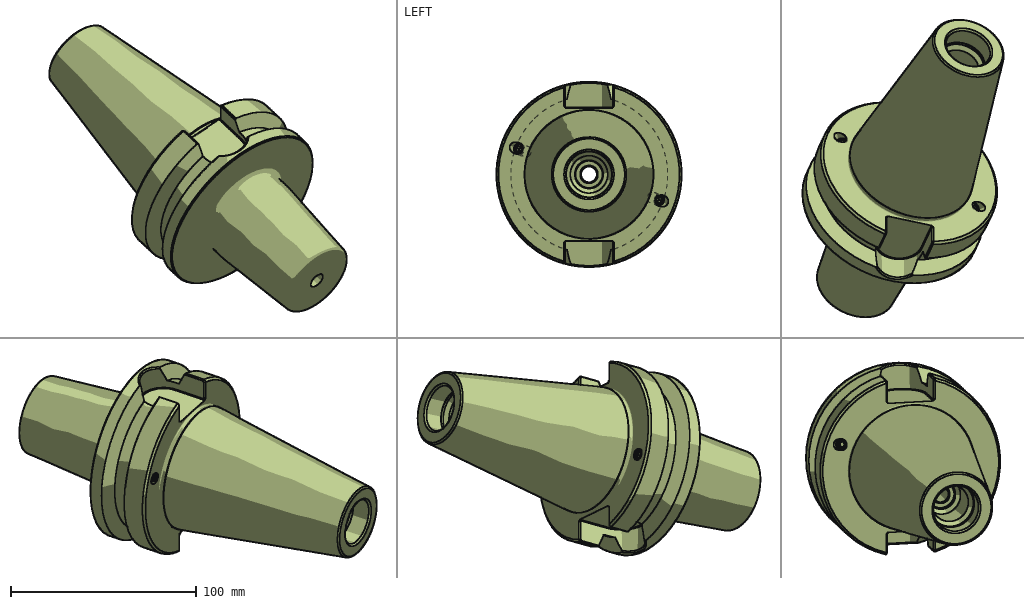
import cadquery as cq
import math

LENGTH = 201.8
TAPER_END = 101.7
FLANGE_FRONT = 104.7
GROOVE_START = 117.5
GROOVE_FLOOR_START = 121.3
GROOVE_FLOOR_END = 128.1
GROOVE_END = 131.8
FLANGE_REAR = 139.2
NECK_END = 150.7

TAPER_RADIUS = 35.0
TAPER_SLOPE = 7 / 48
RELIEF_RADIUS = 69.5 / 2
FLANGE_RADIUS = 100.0 / 2
GROOVE_RADIUS = 42.4
NECK_RADIUS = 52.0 / 2
NOSE_RADIUS = 22.2

SMALL_END_CHAMFER = 0.8
RELIEF_STEP = 0.5
RELIEF_FILLET = 0.6
FLANGE_FRONT_CHAMFER = 1.2
FLANGE_REAR_CHAMFER = 0.6
NECK_FILLET = 3.6
NOSE_FILLET = 2.0

SOCKET_MOUTH_RADIUS = 13.5
SOCKET_RADIUS = 12.5
SOCKET_DEPTH = 10.7
SOCKET_STEP_RADIUS = 12.3
SOCKET_STEP_DEPTH = 12.1
THREAD_RADIUS = 10.0
THREAD_DEPTH = 32.3
DRILL_POINT_ANGLE = math.radians(59)

STOP_SCREW_RADIUS = 7.7
STOP_SCREW_FRONT = 35.3
STOP_SCREW_LENGTH = 16.1
STOP_SCREW_CHAMFER = 0.5
COOLANT_RADIUS = 4.2
COOLANT_CHAMFER = 0.6

SLOT_WIDTH = 25.6
SLOT_FLOOR = 35.7
SLOT_END = 136.0
SLOT_FLOOR_CHAMFER = 0.5
SLOT_EDGE_CHAMFER = 0.8

PORT_PITCH_RADIUS = 41.8
PORT_ANGLE = 20.0
PORT_TILT = 30.0
PORT_DIAMETER = 6.3
SET_SCREW_DIAMETER = 6.0
SET_SCREW_DEPTH = 3.0
SET_SCREW_LENGTH = 8.0
SET_SCREW_CHAMFER = 0.5
HEX_ACROSS_FLATS = 3.0
HEX_DEPTH = 3.0


def revolve_about_x(profile):
    """Spin a half profile, drawn from the axis outward, around the X axis."""
    return profile.close().revolve(360, (0, 0, 0), (1, 0, 0))


def outer_body():
    small_radius = TAPER_RADIUS - TAPER_SLOPE * TAPER_END
    mid = 1 - math.sqrt(0.5)
    profile = (
        cq.Workplane("XY")
        .moveTo(0, 0)
        .lineTo(0, small_radius - SMALL_END_CHAMFER)
        .lineTo(SMALL_END_CHAMFER, small_radius + TAPER_SLOPE * SMALL_END_CHAMFER)
        .lineTo(TAPER_END, TAPER_RADIUS)
        .lineTo(TAPER_END + RELIEF_STEP, RELIEF_RADIUS)
        .lineTo(FLANGE_FRONT - RELIEF_FILLET, RELIEF_RADIUS)
        .threePointArc(
            (FLANGE_FRONT - RELIEF_FILLET * mid, RELIEF_RADIUS + RELIEF_FILLET * mid),
            (FLANGE_FRONT, RELIEF_RADIUS + RELIEF_FILLET),
        )
        .lineTo(FLANGE_FRONT, FLANGE_RADIUS - FLANGE_FRONT_CHAMFER)
        .lineTo(FLANGE_FRONT + FLANGE_FRONT_CHAMFER, FLANGE_RADIUS)
        .lineTo(GROOVE_START, FLANGE_RADIUS)
        .lineTo(GROOVE_FLOOR_START, GROOVE_RADIUS)
        .lineTo(GROOVE_FLOOR_END, GROOVE_RADIUS)
        .lineTo(GROOVE_END, FLANGE_RADIUS)
        .lineTo(FLANGE_REAR - FLANGE_REAR_CHAMFER, FLANGE_RADIUS)
        .lineTo(FLANGE_REAR, FLANGE_RADIUS - FLANGE_REAR_CHAMFER)
        .lineTo(FLANGE_REAR, NECK_RADIUS + NECK_FILLET)
        .threePointArc(
            (FLANGE_REAR + NECK_FILLET * mid, NECK_RADIUS + NECK_FILLET * mid),
            (FLANGE_REAR + NECK_FILLET, NECK_RADIUS),
        )
        .lineTo(NECK_END, NECK_RADIUS)
        .lineTo(LENGTH - NOSE_FILLET, NOSE_RADIUS)
        .threePointArc(
            (LENGTH - NOSE_FILLET * mid, NOSE_RADIUS - NOSE_FILLET * mid),
            (LENGTH, NOSE_RADIUS - NOSE_FILLET),
        )
        .lineTo(LENGTH, 0)
    )
    return revolve_about_x(profile)


def central_bore():
    mouth_chamfer = SOCKET_MOUTH_RADIUS - SOCKET_RADIUS
    lead_in = SOCKET_STEP_RADIUS - THREAD_RADIUS
    drill_point = (THREAD_RADIUS - STOP_SCREW_RADIUS) / math.tan(DRILL_POINT_ANGLE)
    screw_rear = STOP_SCREW_FRONT + STOP_SCREW_LENGTH
    profile = (
        cq.Workplane("XY")
        .moveTo(0, 0)
        .lineTo(0, SOCKET_MOUTH_RADIUS)
        .lineTo(mouth_chamfer, SOCKET_RADIUS)
        .lineTo(SOCKET_DEPTH, SOCKET_RADIUS)
        .lineTo(SOCKET_DEPTH, SOCKET_STEP_RADIUS)
        .lineTo(SOCKET_STEP_DEPTH, SOCKET_STEP_RADIUS)
        .lineTo(SOCKET_STEP_DEPTH + lead_in, THREAD_RADIUS)
        .lineTo(THREAD_DEPTH, THREAD_RADIUS)
        .lineTo(THREAD_DEPTH + drill_point, STOP_SCREW_RADIUS)
        .lineTo(screw_rear, STOP_SCREW_RADIUS)
        .lineTo(screw_rear, COOLANT_RADIUS)
        .lineTo(LENGTH, COOLANT_RADIUS)
        .lineTo(LENGTH, 0)
    )
    return revolve_about_x(profile)


def slot_cutter():
    """Round-ended slot at the +Z side of the flange, open toward the taper."""
    radius = SLOT_WIDTH / 2
    centre_x = SLOT_END - radius
    cutter = (
        cq.Workplane("XY", origin=(0, 0, SLOT_FLOOR))
        .moveTo(TAPER_END, -radius)
        .lineTo(centre_x, -radius)
        .threePointArc((SLOT_END, 0), (centre_x, radius))
        .lineTo(TAPER_END, radius)
        .close()
        .extrude(FLANGE_RADIUS)
    )
    return cutter.faces("<Z").edges("not <X").chamfer(SLOT_FLOOR_CHAMFER)


def is_slot_rim(edge):
    """True for an edge where a drive slot breaks out of the flange front or rim."""
    tolerance = 0.02
    ends = [vertex.Center() for vertex in edge.Vertices()]
    for end in ends:
        in_slot = abs(end.y) < SLOT_WIDTH / 2 + tolerance and abs(end.z) > SLOT_FLOOR - tolerance
        on_front = abs(end.x - FLANGE_FRONT) < FLANGE_FRONT_CHAMFER + tolerance
        on_rim = abs(math.hypot(end.y, end.z) - FLANGE_RADIUS) < tolerance
        if not in_slot or not (on_front or on_rim):
            return False
    same_slot = ends[0].z * ends[-1].z > 0
    above_floor = max(abs(end.z) for end in ends) > SLOT_FLOOR + SLOT_FLOOR_CHAMFER + tolerance
    return same_slot and above_floor


def along_port(shape, turn):
    """Move a shape built along +X from the origin to a port on the flange front."""
    return (
        shape.rotate((0, 0, 0), (0, 0, 1), -PORT_TILT)
        .translate((FLANGE_FRONT, PORT_PITCH_RADIUS, 0))
        .rotate((0, 0, 0), (1, 0, 0), PORT_ANGLE + turn)
    )


def cylinder_x(diameter, start, length):
    return cq.Workplane("YZ", origin=(start, 0, 0)).circle(diameter / 2).extrude(length)


def port_cutter():
    overrun = 4.0
    entry = cylinder_x(PORT_DIAMETER, -overrun, overrun + SET_SCREW_DEPTH)
    return entry.union(cylinder_x(SET_SCREW_DIAMETER, SET_SCREW_DEPTH, SET_SCREW_LENGTH))


def make_set_screw():
    screw = cylinder_x(SET_SCREW_DIAMETER, SET_SCREW_DEPTH, SET_SCREW_LENGTH)
    screw = screw.faces("<X").edges().chamfer(SET_SCREW_CHAMFER)
    hexagon = (
        cq.Workplane("YZ", origin=(SET_SCREW_DEPTH, 0, 0))
        .polygon(6, HEX_ACROSS_FLATS / math.cos(math.pi / 6))
        .extrude(HEX_DEPTH)
    )
    return screw.cut(hexagon)


def make_stop_screw():
    screw = cylinder_x(2 * STOP_SCREW_RADIUS, STOP_SCREW_FRONT, STOP_SCREW_LENGTH)
    screw = screw.faces("<X").edges().chamfer(STOP_SCREW_CHAMFER)
    screw = screw.cut(cylinder_x(2 * COOLANT_RADIUS, 0, LENGTH))
    hole_rim = cq.selectors.RadiusNthSelector(0)
    return screw.faces("<X").edges(hole_rim).chamfer(COOLANT_CHAMFER)


def make_holder():
    holder = outer_body()
    for turn in (0, 180):
        holder = holder.cut(slot_cutter().rotate((0, 0, 0), (1, 0, 0), turn))
    holder = holder.edges().filter(is_slot_rim).chamfer(SLOT_EDGE_CHAMFER)
    holder = holder.cut(central_bore())
    for turn in (0, 180):
        holder = holder.cut(along_port(port_cutter(), turn))
    return holder


holder = make_holder()
stop_screw = make_stop_screw()
set_screws = [along_port(make_set_screw(), turn) for turn in (0, 180)]

result = cq.Compound.makeCompound(
    [holder.val(), stop_screw.val(), *[screw.val() for screw in set_screws]]
)